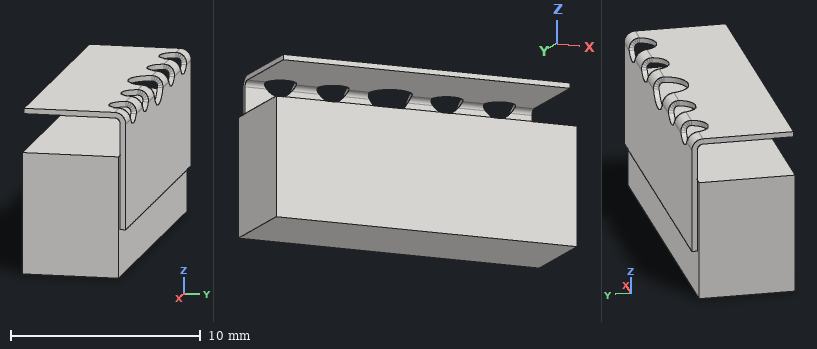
import math
import cadquery as cq

block_length = 17.2
block_depth = 5.2
block_height = 6.55

sheet_thickness = 0.3
bracket_length = 16.4
bracket_top = 8.85
bracket_bottom = 2.55
inner_bend_radius = 0.3

hole_offset_inner = 3.25
hole_offset_outer = 6.25
small_hole_diameter = 1.75
center_hole_diameter = 2.4
holes = [
    (-hole_offset_outer, small_hole_diameter),
    (-hole_offset_inner, small_hole_diameter),
    (0, center_hole_diameter),
    (hole_offset_inner, small_hole_diameter),
    (hole_offset_outer, small_hole_diameter),
]
hole_setback = 0.18

bracket_back = block_depth + sheet_thickness
outer_bend_radius = inner_bend_radius + sheet_thickness
middle_bend_radius = inner_bend_radius + sheet_thickness / 2
bend_y = bracket_back - outer_bend_radius
bend_z = bracket_top - outer_bend_radius
bend_run = middle_bend_radius * math.pi / 2

cut_margin = 0.15
cut_depth = sheet_thickness + 2 * cut_margin
cut_inner_radius = inner_bend_radius - cut_margin
cut_outer_radius = outer_bend_radius + cut_margin
bend_sections = 7


def make_block():
    return cq.Workplane("XY").box(
        block_length, block_depth, block_height, centered=(True, False, False)
    )


def make_bracket():
    diagonal = math.sqrt(0.5)
    return (
        cq.Workplane("YZ", origin=(-bracket_length / 2, 0, 0))
        .moveTo(0, bracket_top)
        .lineTo(bend_y, bracket_top)
        .threePointArc(
            (bend_y + outer_bend_radius * diagonal, bend_z + outer_bend_radius * diagonal),
            (bracket_back, bend_z),
        )
        .lineTo(bracket_back, bracket_bottom)
        .lineTo(block_depth, bracket_bottom)
        .lineTo(block_depth, bend_z)
        .threePointArc(
            (bend_y + inner_bend_radius * diagonal, bend_z + inner_bend_radius * diagonal),
            (bend_y, bend_z + inner_bend_radius),
        )
        .lineTo(0, bend_z + inner_bend_radius)
        .close()
        .extrude(bracket_length)
    )


def leg_cutter(plane, radius, bend_line_offset):
    """Part of the round hole that lies in a flat leg, below the bend line (local Y = 0)."""
    half_width = math.sqrt(radius**2 - bend_line_offset**2)
    return (
        cq.Workplane(plane)
        .moveTo(-half_width, 0)
        .threePointArc((0, bend_line_offset - radius), (half_width, 0))
        .close()
        .extrude(cut_depth)
    )


def bend_cutter(x, radius):
    """Part of the round hole that wraps around the bend, lofted between radial sections."""
    sections = []
    for index in range(bend_sections):
        fraction = index / (bend_sections - 1)
        angle = fraction * math.pi / 2
        half_width = math.sqrt(radius**2 - (fraction * bend_run - hole_setback) ** 2)
        corners = [
            cq.Vector(
                x + side * half_width,
                bend_y + reach * math.sin(angle),
                bend_z + reach * math.cos(angle),
            )
            for side, reach in (
                (-1, cut_inner_radius),
                (1, cut_inner_radius),
                (1, cut_outer_radius),
                (-1, cut_outer_radius),
            )
        ]
        sections.append(cq.Wire.makePolygon(corners, close=True))
    return cq.Workplane(cq.Solid.makeLoft(sections, True))


def punch_hole(bracket, x, diameter):
    radius = diameter / 2
    upper_plane = cq.Plane(
        origin=(x, bend_y, bend_z + cut_inner_radius), xDir=(1, 0, 0), normal=(0, 0, 1)
    )
    lower_plane = cq.Plane(
        origin=(x, bend_y + cut_outer_radius, bend_z), xDir=(1, 0, 0), normal=(0, -1, 0)
    )
    return (
        bracket.cut(leg_cutter(upper_plane, radius, hole_setback))
        .cut(leg_cutter(lower_plane, radius, bend_run - hole_setback))
        .cut(bend_cutter(x, radius))
    )


bracket = make_bracket()
for hole_x, hole_diameter in holes:
    bracket = punch_hole(bracket, hole_x, hole_diameter)

result = make_block().union(bracket)